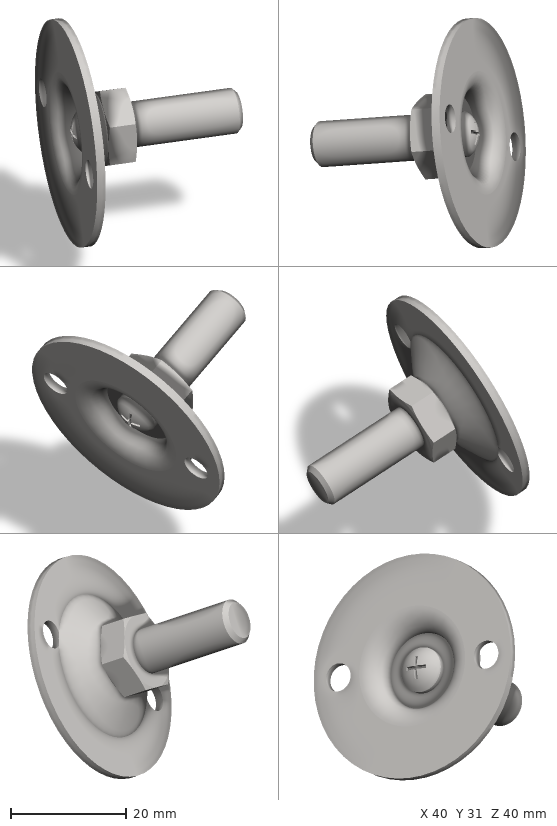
import cadquery as cq
import math

plate_diameter = 40.0
plate_thickness = 1.5
overall_length = 31.0

hub_base_radius = 12.9
hub_top_radius = 6.4
hub_height = 4.1
hub_top = plate_thickness + hub_height

nut_across_flats = 13.0
nut_top = 11.0
washer_thickness = 0.2
nut_bottom = hub_top + washer_thickness
nut_height = nut_top - nut_bottom
nut_corner_diameter = nut_across_flats / math.cos(math.pi / 6)
nut_chamfer_angle = math.radians(15)

stud_diameter = 8.0
stud_radius = stud_diameter / 2
stud_chamfer = 0.8

recess_floor_radius = 6.75
recess_depth = 4.0
head_side_height = 1.0
dome_height = 2.0
cross_length = 4.0
cross_width = 0.6
cross_depth = 1.0

hole_diameter = 5.0
hole_spacing = 30.0


def workplane_at(y):
    """Plane at height y along the axis, with its normal along +Y."""
    return cq.Workplane(cq.Plane(origin=(0, y, 0), xDir=(1, 0, 0), normal=(0, 1, 0)))


def revolve(profile):
    """Full turn of a radius-Y profile about the Y axis."""
    return profile.close().revolve(360, (0, 0, 0), (0, 1, 0))


def make_plate():
    plate = workplane_at(0).circle(plate_diameter / 2).extrude(plate_thickness)
    holes = (
        workplane_at(0)
        .pushPoints([(-hole_spacing / 2, 0), (hole_spacing / 2, 0)])
        .circle(hole_diameter / 2)
        .extrude(plate_thickness)
    )
    return plate.cut(holes)


def make_hub():
    return revolve(
        cq.Workplane("XY")
        .moveTo(0, plate_thickness)
        .lineTo(hub_base_radius, plate_thickness)
        .lineTo(hub_top_radius, hub_top)
        .lineTo(0, hub_top)
    )


def make_recess():
    """Pocket whose wall is a quarter round, tangent to the plate face."""
    mouth_radius = recess_floor_radius + recess_depth
    diagonal = recess_depth * math.sqrt(0.5)
    return revolve(
        cq.Workplane("XY")
        .lineTo(mouth_radius, 0)
        .threePointArc(
            (mouth_radius - diagonal, recess_depth - diagonal),
            (recess_floor_radius, recess_depth),
        )
        .lineTo(0, recess_depth)
    )


def make_nut():
    """Hexagon with corners along Z, rounded off by a cone at both ends."""
    hexagon = (
        workplane_at(nut_bottom)
        .transformed(rotate=(0, 0, 90))
        .polygon(6, nut_corner_diameter)
        .extrude(nut_height)
    )
    flat_radius = nut_across_flats / 2
    corner_radius = nut_corner_diameter / 2
    corner_drop = (corner_radius - flat_radius) * math.tan(nut_chamfer_angle)
    envelope = revolve(
        cq.Workplane("XY")
        .moveTo(0, nut_bottom)
        .lineTo(flat_radius, nut_bottom)
        .lineTo(corner_radius, nut_bottom + corner_drop)
        .lineTo(corner_radius, nut_top - corner_drop)
        .lineTo(flat_radius, nut_top)
        .lineTo(0, nut_top)
    )
    washer = workplane_at(hub_top).circle(hub_top_radius).extrude(washer_thickness)
    return hexagon.intersect(envelope).union(washer)


def make_stud():
    return (
        workplane_at(hub_top)
        .circle(stud_radius)
        .extrude(overall_length - hub_top)
        .faces(">Y")
        .chamfer(stud_chamfer)
    )


def make_head():
    """Short cylinder topped by a spherical cap with a cross slot."""
    rim = recess_depth - head_side_height
    apex = rim - dome_height
    sphere_radius = (stud_radius**2 + dome_height**2) / (2 * dome_height)
    sphere_center = apex + sphere_radius
    mid_radius = stud_radius / 2
    mid_y = sphere_center - math.sqrt(sphere_radius**2 - mid_radius**2)
    head = revolve(
        cq.Workplane("XY")
        .moveTo(0, recess_depth)
        .lineTo(stud_radius, recess_depth)
        .lineTo(stud_radius, rim)
        .threePointArc((mid_radius, mid_y), (0, apex))
    )
    for length_x, length_z in ((cross_length, cross_width), (cross_width, cross_length)):
        slot = workplane_at(apex).rect(length_x, length_z).extrude(cross_depth)
        head = head.cut(slot)
    return head


result = (
    make_plate()
    .union(make_hub())
    .cut(make_recess())
    .union(make_nut())
    .union(make_stud())
    .union(make_head())
)